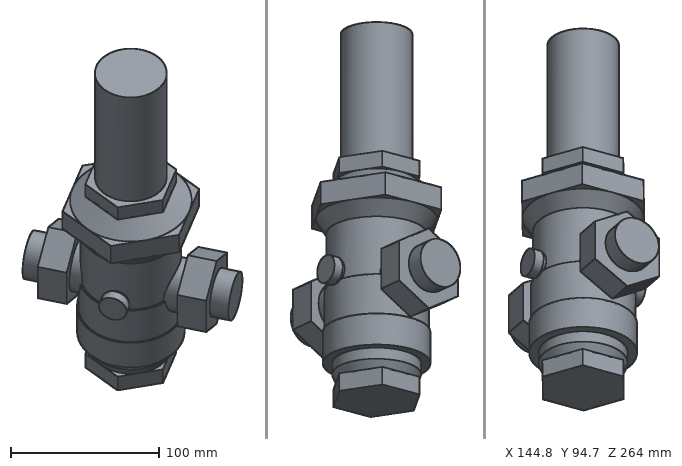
import cadquery as cq
import math

total_height = 264.0
base_hex_top = 12.7
neck_cone_top = 19.0
collar_bottom = 27.0
collar_top = 49.5
body_step = 78.1
body_top = 120.0
bonnet_bottom = 131.0
bonnet_top = 147.0
cap_hex_bottom = 157.0
cap_hex_top = 168.5

small_hex_flats = 54.6
bonnet_flats = 82.0
neck_radius = 30.0
collar_radius = 36.5
lower_body_radius = 35.5
upper_body_radius = 34.0
tube_radius = 24.3
small_cone_radius = small_hex_flats / 2
bonnet_cone_radius = bonnet_flats / 2

port_height = body_step
port_neck_radius = 18.7
nut_flats = 50.0
nut_width = 20.3
stub_radius = 17.0
stub_length = 13.2
left_nut_start = 37.8
right_nut_start = 40.0

plug_height = 85.3
plug_radius = 9.8
plug_end = 43.0
plug_shoulder = 36.2
plug_root = 31.7
plug_root_radius = 7.0


def hex_prism(plane, flats, length):
    """Hexagonal prism with two corners on the local Y axis of the plane."""
    corner_diameter = flats / math.cos(math.pi / 6)
    prism = cq.Workplane("XY").polygon(6, corner_diameter).extrude(length)
    prism = prism.rotate((0, 0, 0), (0, 0, 1), 90)
    return cq.Workplane(prism.val().moved(cq.Location(plane)))


def vertical_hex(flats, bottom, top):
    return hex_prism(cq.Plane((0, 0, bottom)), flats, top - bottom)


def turned_body():
    """Revolved core: neck, collar, stepped body, bonnet cones and top tube."""
    profile = [
        (0, 0),
        (small_cone_radius, 0),
        (small_cone_radius, base_hex_top),
        (neck_radius, neck_cone_top),
        (neck_radius, collar_bottom),
        (collar_radius, collar_bottom),
        (collar_radius, collar_top),
        (lower_body_radius, collar_top),
        (lower_body_radius, body_step),
        (upper_body_radius, body_step),
        (upper_body_radius, body_top),
        (bonnet_cone_radius, bonnet_bottom),
        (bonnet_cone_radius, bonnet_top),
        (small_cone_radius, cap_hex_bottom),
        (small_cone_radius, cap_hex_top),
        (tube_radius, cap_hex_top),
        (tube_radius, total_height),
        (0, total_height),
    ]
    return cq.Workplane("XZ").polyline(profile).close().revolve(360, (0, 0), (0, 1))


def port(side, nut_start):
    """Port neck, union nut and pipe stub; side is -1 for left, +1 for right."""
    def plane_at(distance):
        return cq.Plane((side * distance, 0, port_height), xDir=(0, 1, 0), normal=(side, 0, 0))

    nut_end = nut_start + nut_width
    neck = cq.Workplane(plane_at(0)).circle(port_neck_radius).extrude(nut_start)
    nut = hex_prism(plane_at(nut_start), nut_flats, nut_width)
    stub = cq.Workplane(plane_at(nut_end)).circle(stub_radius).extrude(stub_length)
    return neck.union(nut).union(stub)


def plug(side):
    """Round plug tapering into the body; side is -1 for front, +1 for back."""
    profile = [
        (0, plug_root),
        (plug_root_radius, plug_root),
        (plug_radius, plug_shoulder),
        (plug_radius, plug_end),
        (0, plug_end),
    ]
    plane = cq.Plane((0, 0, plug_height), xDir=(1, 0, 0), normal=(0, 0, side))
    return cq.Workplane(plane).polyline(profile).close().revolve(360, (0, 0), (0, 1))


result = turned_body()
result = result.union(vertical_hex(small_hex_flats, 0, base_hex_top))
result = result.union(vertical_hex(bonnet_flats, bonnet_bottom, bonnet_top))
result = result.union(vertical_hex(small_hex_flats, cap_hex_bottom, cap_hex_top))
result = result.union(port(-1, left_nut_start))
result = result.union(port(1, right_nut_start))
for plug_side in (-1, 1):
    result = result.union(plug(plug_side))